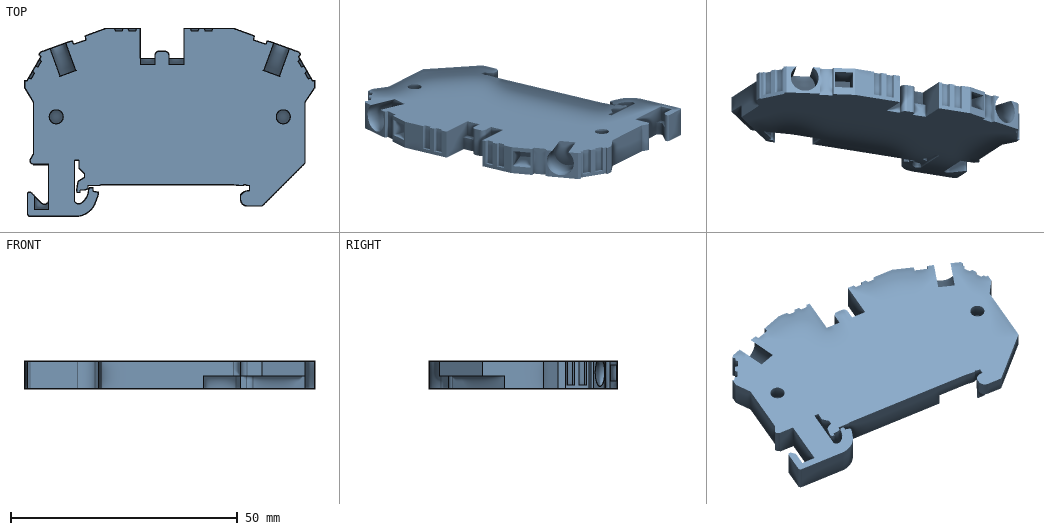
import cadquery as cq
import math

LENGTH = 64.0
HEIGHT = 41.5
THICKNESS = 6.1
LAYER_Z = 2.77

CUT_MARGIN = 1.0

SIDE_LEFT = 1.9
SIDE_RIGHT = 61.85
SHOULDER_Y = 25.2
BOTTOM_Y = 6.95
ENTRY_SLOPE = 20.0
FLANK_SLOPE = 60.0
FLANK_FOOT = (0.45, 29.9)
FLANK_END_Y = 35.26
ENTRY_FACE_END = (3.5, 36.3)
TOP_CORNER = (17.8, HEIGHT)
DIAGONAL_TOP = 11.75

NOTCH_LEFT = 25.5
NOTCH_RIGHT = 35.1
NOTCH_FLOOR = 33.5
NOTCH_LEDGE = 34.9
TAB_LEFT = 28.7
TAB_RIGHT = 31.85
TAB_TOP = 36.5
TAB_RADIUS = 1.0

FOOT_LEFT = 0.6
FOOT_TIP_Y = 5.4
FOOT_TIP_RIGHT = 1.3
NECK_LEFT = 5.2
NECK_RIGHT = 11.0
NECK_SLOT_RIGHT = 11.97
NECK_SLOT_TOP = 12.37
CATCH_RIGHT = 14.0
CATCH_NOTCH_X = 13.14
HOOK_TOP = 6.35
HOOK_RIGHT = 16.25
HOOK_STEP_X = 15.1
LEDGE_Y = 11.55
LEDGE_RADIUS = 0.75
LEDGE_TOP_Y = 13.8
LEDGE_ARC_SWEEP = 120.0
LEDGE_DRAFT = 0.2
POCKET_LEFT = 2.15
POCKET_FLOOR_Y = 1.52
FOOT_CORNER_RADIUS = 0.6
FOOT_TIP_RADIUS = 0.4

HEEL_LEFT = 47.6
HEEL_BOTTOM = 2.3
HEEL_RIGHT = 52.4
HEEL_RADIUS = 1.5
RAIL_SLOT_RIGHT = 49.55
RAIL_LIP_START_Y = 4.75
RAIL_SLOT_TOP = 6.83
SEAT_Y = 6.8

CLEARANCE_LEFT = 39.5
CLEARANCE_TOP = 11.0
CLEARANCE_SLOPE_X = 46.6
FINGER_ROOT_Y = 10.0
FINGER_LEFT = HEEL_LEFT
FINGER_LEFT_TOP = 4.6
FINGER_BOTTOM = 4.3
FINGER_TIP_RIGHT = 48.9
FINGER_BACK_START = (50.4, 5.15)

HOLE_INSET = 6.95
HOLE_Y = 22.0
HOLE_DIAMETER = 3.1

CHANNEL_RADIUS = 3.08
CHANNEL_Z = 3.63
CHANNEL_DEPTH = 6.5
CHANNEL_ALONG_FACE = 4.05

ENTRY_WIDTH = 4.0
ENTRY_INSET = 0.4
ENTRY_Z_MIN = 1.67
ENTRY_Z_MAX = 5.2
ENTRY_DEPTH = CHANNEL_DEPTH

GROOVE_WIDTH = 1.9
GROOVE_FLOOR_WIDTH = 1.4
GROOVE_DEPTH = 0.6
GROOVE_Z_MIN = 0.8
TOP_GROOVES = (20.75, 23.75, 37.5, 40.55)
FLANK_GROOVES = (1.6, 4.65)


def shoulder_points():
    """Left shoulder, from the side wall up to the top edge."""
    flank_foot_x, flank_foot_y = FLANK_FOOT
    flank_end_x = flank_foot_x + (FLANK_END_Y - flank_foot_y) / math.tan(math.radians(FLANK_SLOPE))
    return [
        (SIDE_LEFT, SHOULDER_Y),
        (0.0, 28.4),
        (0.0, 30.05),
        FLANK_FOOT,
        (flank_end_x, FLANK_END_Y),
        (3.1, 35.75),
        ENTRY_FACE_END,
        (9.7, 38.56),
        (10.5, 38.75),
        (10.8, 38.05),
        (13.5, 38.95),
        (13.3, 39.85),
        TOP_CORNER,
    ]


def mirrored(points):
    return [(LENGTH - x, y) for x, y in reversed(points)]


def housing():
    """Full-thickness body with both feet and the bridge notch."""
    left = shoulder_points()
    right = mirrored(left)
    right[-1] = (SIDE_RIGHT, SHOULDER_Y)
    ledge_sweep = math.radians(LEDGE_ARC_SWEEP)
    ledge_arc_end = (
        SIDE_LEFT - LEDGE_RADIUS * math.sin(ledge_sweep),
        LEDGE_Y + LEDGE_RADIUS * (1 - math.cos(ledge_sweep)),
    )

    outline = cq.Workplane("XY").moveTo(*left[0])
    for point in left[1:]:
        outline = outline.lineTo(*point)

    outline = (
        outline.lineTo(NOTCH_LEFT, HEIGHT)
        .lineTo(NOTCH_LEFT, NOTCH_FLOOR)
        .lineTo(TAB_LEFT, NOTCH_FLOOR)
        .lineTo(TAB_LEFT, TAB_TOP - TAB_RADIUS)
        .radiusArc((TAB_LEFT + TAB_RADIUS, TAB_TOP), TAB_RADIUS)
        .lineTo(TAB_RIGHT - TAB_RADIUS, TAB_TOP)
        .radiusArc((TAB_RIGHT, TAB_TOP - TAB_RADIUS), TAB_RADIUS)
        .lineTo(TAB_RIGHT, NOTCH_FLOOR)
        .lineTo(NOTCH_RIGHT, NOTCH_FLOOR)
        .lineTo(NOTCH_RIGHT, HEIGHT)
    )
    for point in right:
        outline = outline.lineTo(*point)

    outline = (
        outline.lineTo(SIDE_RIGHT, DIAGONAL_TOP)
        .lineTo(HEEL_RIGHT, HEEL_BOTTOM)
        .lineTo(HEEL_LEFT + HEEL_RADIUS, HEEL_BOTTOM)
        .radiusArc((HEEL_LEFT, HEEL_BOTTOM + HEEL_RADIUS), HEEL_RADIUS)
        .lineTo(HEEL_LEFT, RAIL_LIP_START_Y)
        .threePointArc((48.25, 5.38), (RAIL_SLOT_RIGHT, 5.7))
        .lineTo(RAIL_SLOT_RIGHT, RAIL_SLOT_TOP)
        .lineTo(49.1, RAIL_SLOT_TOP)
        .lineTo(48.4, 7.05)
        .lineTo(48.2, SEAT_Y)
        .lineTo(47.7, SEAT_Y)
        .lineTo(46.1, BOTTOM_Y)
    )

    outline = (
        outline.lineTo(16.8, BOTTOM_Y)
        .lineTo(16.4, SEAT_Y)
        .lineTo(CATCH_RIGHT, SEAT_Y)
        .lineTo(CATCH_RIGHT, 6.1)
        .lineTo(13.3, 5.85)
        .lineTo(12.25, 5.8)
        .lineTo(12.2, 5.25)
        .lineTo(11.6, 5.25)
        .lineTo(11.4, 5.7)
        .lineTo(11.74, 7.7)
        .lineTo(12.26, 8.1)
        .lineTo(CATCH_NOTCH_X, 8.6)
        .lineTo(CATCH_NOTCH_X, 9.45)
        .lineTo(NECK_SLOT_RIGHT, 10.6)
        .lineTo(NECK_SLOT_RIGHT, NECK_SLOT_TOP)
        .lineTo(NECK_RIGHT, NECK_SLOT_TOP)
    )

    outline = (
        outline.lineTo(NECK_RIGHT, 3.35)
        .threePointArc((11.65, 2.85), (12.5, 3.0))
        .tangentArcPoint((14.05, 5.9), relative=False)
        .lineTo(14.3, HOOK_TOP)
        .lineTo(HOOK_STEP_X, HOOK_TOP)
        .lineTo(HOOK_STEP_X, 5.6)
        .lineTo(HOOK_RIGHT, 5.35)
        .lineTo(HOOK_RIGHT, 4.8)
        .lineTo(15.45, 2.65)
        .threePointArc((13.95, 0.88), (11.6, 0.0))
    )

    outline = (
        outline.lineTo(FOOT_LEFT + FOOT_CORNER_RADIUS, 0.0)
        .radiusArc((FOOT_LEFT, FOOT_CORNER_RADIUS), FOOT_CORNER_RADIUS)
        .lineTo(FOOT_LEFT, FOOT_TIP_Y - FOOT_TIP_RADIUS)
        .radiusArc((FOOT_LEFT + FOOT_TIP_RADIUS, FOOT_TIP_Y), FOOT_TIP_RADIUS)
        .lineTo(FOOT_TIP_RIGHT, FOOT_TIP_Y)
        .lineTo(3.65, 3.0)
        .threePointArc((4.3, 2.72), (NECK_LEFT, 3.2))
        .lineTo(NECK_LEFT, LEDGE_Y)
        .lineTo(SIDE_LEFT, LEDGE_Y)
        .threePointArc((SIDE_LEFT - LEDGE_RADIUS, LEDGE_Y + LEDGE_RADIUS), ledge_arc_end)
        .lineTo(SIDE_LEFT, LEDGE_TOP_Y)
        .close()
    )
    return outline.extrude(THICKNESS)


def box(x_min, x_max, y_min, y_max, z_min, z_max):
    return cq.Workplane("XY").box(
        x_max - x_min, y_max - y_min, z_max - z_min, centered=False
    ).translate((x_min, y_min, z_min))


def both_sides(tool):
    return tool.union(tool.mirror("YZ").translate((LENGTH, 0, 0)))


def notch_ledge():
    """Raised floor of the bridge notch, in the lower layer."""
    return box(NOTCH_LEFT, NOTCH_RIGHT, NOTCH_FLOOR, NOTCH_LEDGE, 0, LAYER_Z)


def ledge_draft():
    """Thin wedge that gives the underside of the side ledge its draft."""
    return (
        cq.Workplane("YZ", origin=(SIDE_LEFT, 0, 0))
        .moveTo(LEDGE_Y, 0)
        .lineTo(LEDGE_Y, THICKNESS)
        .lineTo(LEDGE_Y - LEDGE_DRAFT, 0)
        .close()
        .extrude(NECK_LEFT - SIDE_LEFT)
    )


def foot_pocket():
    return box(POCKET_LEFT, NECK_LEFT, POCKET_FLOOR_Y, FOOT_TIP_Y, LAYER_Z, THICKNESS)


def foot_clearance():
    """Lower-layer space around the 45-degree finger that is left under the rigid foot."""
    back_x, back_y = FINGER_BACK_START
    back_end_y = back_y + SIDE_RIGHT - back_x
    finger_root_x = FINGER_LEFT + FINGER_ROOT_Y - FINGER_LEFT_TOP
    return (
        cq.Workplane("XY")
        .moveTo(CLEARANCE_LEFT, 0)
        .lineTo(CLEARANCE_LEFT, CLEARANCE_TOP)
        .lineTo(CLEARANCE_SLOPE_X, CLEARANCE_TOP)
        .lineTo(finger_root_x, FINGER_ROOT_Y)
        .lineTo(FINGER_LEFT, FINGER_LEFT_TOP)
        .lineTo(FINGER_LEFT, FINGER_BOTTOM)
        .lineTo(FINGER_TIP_RIGHT, FINGER_BOTTOM)
        .tangentArcPoint(FINGER_BACK_START, relative=False)
        .lineTo(SIDE_RIGHT, back_end_y)
        .lineTo(SIDE_RIGHT, 0)
        .close()
        .extrude(LAYER_Z)
    )


def blind_holes():
    centres = [(HOLE_INSET, HOLE_Y), (LENGTH - HOLE_INSET, HOLE_Y)]
    return (
        cq.Workplane("XY", origin=(0, 0, LAYER_Z))
        .pushPoints(centres)
        .circle(HOLE_DIAMETER / 2)
        .extrude(THICKNESS - LAYER_Z)
    )


def place_on_slope(tool, point, angle):
    """Turn a tool drawn on a level top face and move its origin to a point of a sloping face."""
    return tool.rotate((0, 0, 0), (0, 0, 1), angle).translate((point[0], point[1], 0))


def screw_channels():
    channel = (
        cq.Workplane("XZ", origin=(CHANNEL_ALONG_FACE, CUT_MARGIN, CHANNEL_Z))
        .circle(CHANNEL_RADIUS)
        .extrude(CHANNEL_DEPTH + CUT_MARGIN)
    )
    return both_sides(place_on_slope(channel, ENTRY_FACE_END, ENTRY_SLOPE))


def wire_entries():
    entry = box(-ENTRY_INSET - ENTRY_WIDTH, -ENTRY_INSET, -ENTRY_DEPTH, CUT_MARGIN, ENTRY_Z_MIN, ENTRY_Z_MAX)
    return both_sides(place_on_slope(entry, TOP_CORNER, ENTRY_SLOPE))


def marker_groove(centre):
    """Trapezoidal groove in a level face, at the given distance along it."""
    return (
        cq.Workplane("XY", origin=(centre, 0, GROOVE_Z_MIN))
        .moveTo(-GROOVE_WIDTH / 2, 0)
        .lineTo(-GROOVE_FLOOR_WIDTH / 2, -GROOVE_DEPTH)
        .lineTo(GROOVE_FLOOR_WIDTH / 2, -GROOVE_DEPTH)
        .lineTo(GROOVE_WIDTH / 2, 0)
        .close()
        .extrude(THICKNESS - GROOVE_Z_MIN)
    )


result = housing().union(notch_ledge()).union(ledge_draft())
result = result.cut(foot_pocket()).cut(foot_clearance()).cut(blind_holes())
result = result.cut(screw_channels()).cut(wire_entries())
for groove_x in TOP_GROOVES:
    result = result.cut(marker_groove(groove_x).translate((0, HEIGHT, 0)))
for groove_distance in FLANK_GROOVES:
    flank_groove = place_on_slope(marker_groove(groove_distance), FLANK_FOOT, FLANK_SLOPE)
    result = result.cut(both_sides(flank_groove))